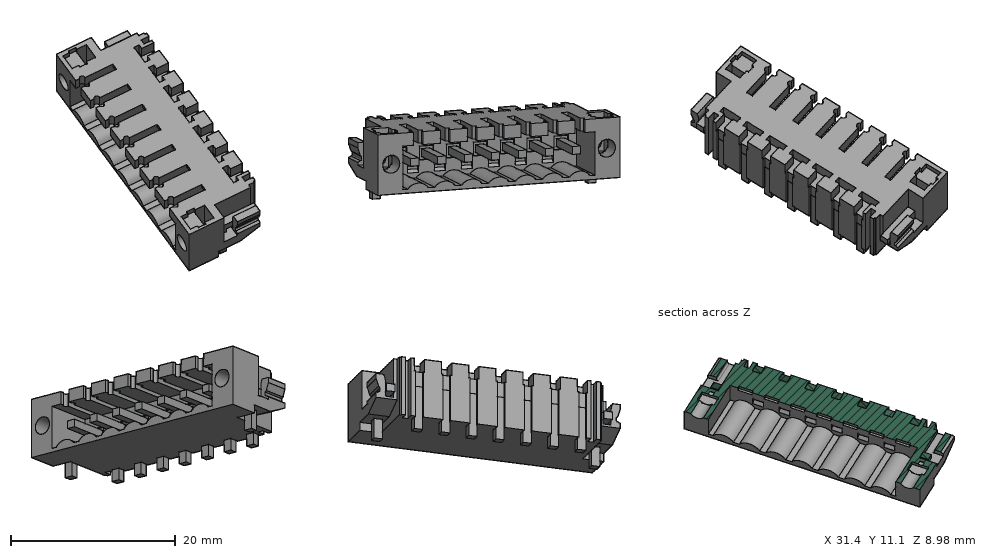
import cadquery as cq
import math


length = 31.45
depth = 11.05
height = 7.5
contact_count = 7
contact_row = 21.0
pitch = contact_row / (contact_count - 1)
contact_x = [i * pitch - contact_row / 2 for i in range(contact_count)]
flange_x = contact_row / 2 + pitch
half_length = length / 2

wire_width = 1.07
wire_height = 0.97
wire_z = 3.52
wire_bottom = wire_z - wire_height / 2
wire_top = wire_z + wire_height / 2
leg_thickness = wire_height
tail_length = 1.48
contact_front = 1.2
contact_rear = 10.7
anchor_front = 5.03
anchor_rear = 10.5

flange_depth = 4.95
side_x = flange_x - wire_width / 2
shoulder_y = 10.03
rear_step_y = 10.8
rear_step_x = 13.02
rear_x = 12.83
end_gap_width = 0.7
end_gap_x = 11.95
end_gap_front = 9.95

cavity_half_length = 12.5
cavity_depth = 6.3
cavity_floor = 0.5
cavity_roof = 5.88
scallop_half_width = 1.35
scallop_height = 0.65

contact_recess_width = 1.85
contact_recess_height = 1.7
contact_recess_depth = 0.3

window_width = 1.4
window_bottom = 1.15
window_top = 2.0
window_slope = 0.38

slit_width = 0.88
slit_end = 5.13
slit_undercut_top = 6.98
mouth_width = 1.25
keyhole_width = 1.75
keyhole_breadth = 0.7
keyhole_y = 0.85

rear_slot_width = 1.32
rear_slot_floor = cavity_roof
cross_width = 2.58
cross_front = 8.62
cross_rear = 9.35
rear_groove_width = 0.97

bore_radius = 1.1
bore_tip_radius = 0.8
bore_end = 4.4
bore_z = height / 2
pocket_width = 2.2
pocket_front = 0.57
pocket_rear = 3.87
ledge_depth = 0.72
ledge_rear = 2.55
ear_width = 2.77
ear_front = 1.5

arm_bottom = 1.05
arm_top = 2.5
arm_slope_start = 7.2
arm_rear_bottom = 2.2
notch_front = 4.15
hook_front = 6.82
hook_top = 5.28
hook_tip_x = -14.75
hook_curve_z = 4.37
lip_bottom = 4.62
groove_x = -15.22
groove_top = 3.68
groove_step = 0.2
groove_fillet = 0.15
ledge_inner_z = 3.02
ledge_outer_z = 2.83
foot_fillet = 0.22


def block(x0, x1, y0, y1, z0, z1):
    """Box between the given limits."""
    return cq.Workplane("XY").box(x1 - x0, y1 - y0, z1 - z0, centered=False).translate((x0, y0, z0))


def centred_block(x, width, y0, y1, z0, z1):
    """Box centred on x."""
    return block(x - width / 2, x + width / 2, y0, y1, z0, z1)


def mirrored(shape):
    """The shape together with its mirror image across the middle of the row."""
    return shape.union(shape.mirror("YZ"))


def bent_wire(x, front, rear, leg_front):
    """Square wire: a bar along Y and a leg that runs down through the board."""
    bar = centred_block(x, wire_width, front, rear, wire_bottom, wire_top)
    leg = centred_block(x, wire_width, leg_front, leg_front + leg_thickness, -tail_length, wire_top)
    return bar.union(leg)


def contact(x):
    return bent_wire(x, contact_front, contact_rear, contact_rear - leg_thickness)


def anchor(x):
    return bent_wire(x, anchor_front, anchor_rear, anchor_front)


def housing_outline():
    """Middle block and the two flanges, with stepped rear corners."""
    flanges = block(-half_length, half_length, 0, flange_depth, 0, height)
    middle = block(-side_x, side_x, 0, shoulder_y, 0, height)
    step = block(-rear_step_x, rear_step_x, 0, rear_step_y, 0, height)
    rear = block(-rear_x, rear_x, 0, depth, 0, height)
    end_gap = centred_block(end_gap_x, end_gap_width, end_gap_front, depth, 0, height)
    return flanges.union(middle).union(step).union(rear).cut(mirrored(end_gap))


def latch_arm():
    """Left side arm that carries a grooved hook beside the anchor bar."""
    arm = (
        cq.Workplane("YZ")
        .moveTo(flange_depth, arm_bottom)
        .lineTo(arm_slope_start, arm_bottom)
        .lineTo(shoulder_y, arm_rear_bottom)
        .lineTo(shoulder_y, arm_top)
        .lineTo(flange_depth, arm_top)
        .close()
        .extrude(half_length - side_x)
        .translate((-half_length, 0, 0))
    )
    inner_x = -flange_x - wire_width / 2
    curve_run = inner_x - hook_tip_x
    curve_rise = hook_top - hook_curve_z
    curve_radius = (curve_run**2 + curve_rise**2) / (2 * curve_run)
    half_angle = math.asin(curve_rise / curve_radius) / 2
    inner_mid = (
        inner_x - curve_radius * (1 - math.cos(half_angle)),
        hook_curve_z + curve_radius * math.sin(half_angle),
    )
    hook = (
        cq.Workplane("XZ")
        .moveTo(-half_length, arm_top)
        .lineTo(-half_length, ledge_outer_z)
        .lineTo(groove_x - groove_fillet, ledge_inner_z)
        .radiusArc((groove_x, ledge_inner_z + groove_fillet), -groove_fillet)
        .lineTo(groove_x, groove_top - groove_step)
        .lineTo(groove_x - groove_step, groove_top)
        .lineTo(-half_length, lip_bottom)
        .lineTo(-half_length, hook_top)
        .lineTo(hook_tip_x, hook_top)
        .threePointArc(inner_mid, (inner_x, hook_curve_z))
        .lineTo(inner_x, arm_top + foot_fillet)
        .radiusArc((inner_x + foot_fillet, arm_top), -foot_fillet)
        .close()
        .extrude(hook_front - shoulder_y)
        .translate((0, hook_front, 0))
    )
    return arm.union(hook)


def flange_notch():
    """Relief under the left flange and arm, deep enough to reach the rear step of the side wall."""
    return (
        cq.Workplane("YZ")
        .moveTo(notch_front, 0)
        .lineTo(notch_front, arm_bottom)
        .lineTo(arm_slope_start, arm_bottom)
        .lineTo(shoulder_y, arm_rear_bottom)
        .lineTo(shoulder_y, 0)
        .close()
        .extrude(half_length - rear_step_x)
        .translate((-half_length, 0, 0))
    )


def nut_pocket():
    """Left flange: bore in the mating face and stepped nut pocket in the top."""
    x = -flange_x
    well = centred_block(x, pocket_width, ledge_rear, pocket_rear, bore_z - bore_radius, height)
    ledge = centred_block(x, pocket_width, pocket_front, ledge_rear, height - ledge_depth, height)
    ears = centred_block(x, ear_width, ear_front, ledge_rear, height - ledge_depth, height)
    mouth = cq.Workplane("XZ").center(x, bore_z).circle(bore_radius).extrude(-ledge_rear)
    tip = cq.Workplane("XZ").center(x, bore_z).circle(bore_tip_radius).extrude(-bore_end)
    return well.union(ledge).union(ears).union(mouth).union(tip)


def scallop(x):
    """Rounded rib along the cavity floor."""
    return (
        cq.Workplane("XZ")
        .moveTo(x - scallop_half_width, cavity_floor)
        .threePointArc((x, cavity_floor + scallop_height), (x + scallop_half_width, cavity_floor))
        .close()
        .extrude(-cavity_depth)
    )


def mating_cavity():
    """Plug cavity, open at the front, with a scalloped floor."""
    cavity = block(-cavity_half_length, cavity_half_length, 0, cavity_depth, cavity_floor, cavity_roof)
    for x in contact_x:
        cavity = cavity.cut(scallop(x))
    return cavity


def contact_recess(x):
    """Shallow rectangular recess around a contact in the rear wall of the cavity."""
    z0 = wire_z - contact_recess_height / 2
    z1 = wire_z + contact_recess_height / 2
    return centred_block(x, contact_recess_width, cavity_depth, cavity_depth + contact_recess_depth, z0, z1)


def wall_window(x):
    """Recess with a sloping sill in the rear wall of the cavity."""
    return (
        cq.Workplane("YZ")
        .moveTo(cavity_depth, window_bottom)
        .lineTo(cavity_depth + window_slope, window_bottom + window_slope)
        .lineTo(cavity_depth + window_slope, window_top)
        .lineTo(cavity_depth, window_top)
        .close()
        .extrude(window_width)
        .translate((x - window_width / 2, 0, 0))
    )


def roof_slit(x):
    """Coding slit through the cavity roof: keyhole mouth, narrow run, undercut end."""
    mouth = centred_block(x, mouth_width, 0, keyhole_y, cavity_roof, height)
    keyhole = (
        cq.Workplane("XY")
        .workplane(offset=cavity_roof)
        .center(x, keyhole_y)
        .slot2D(keyhole_width, keyhole_breadth)
        .extrude(height - cavity_roof)
    )
    run = centred_block(x, slit_width, keyhole_y, slit_end, cavity_roof, height)
    undercut = centred_block(x, slit_width, slit_end, cavity_depth, cavity_roof, slit_undercut_top)
    return mouth.union(keyhole).union(run).union(undercut)


def rear_slot(x):
    """T-shaped slot in the top and the narrower groove below it, behind the contact leg."""
    stem = centred_block(x, rear_slot_width, cross_front, depth, rear_slot_floor, height)
    cross = centred_block(x, cross_width, cross_front, cross_rear, rear_slot_floor, height)
    groove = centred_block(x, rear_groove_width, contact_rear, depth, 0, height)
    return stem.union(cross).union(groove)


def build_housing(inserts):
    """Housing with matching holes for the contacts and anchors."""
    body = housing_outline()
    body = body.union(mirrored(latch_arm()))
    body = body.cut(mirrored(flange_notch()))
    body = body.cut(mirrored(nut_pocket()))
    body = body.cut(mating_cavity())
    for x in contact_x:
        body = body.cut(contact_recess(x)).cut(roof_slit(x)).cut(rear_slot(x))
    for x in contact_x[:-1]:
        body = body.cut(wall_window(x + pitch / 2))
    for insert in inserts:
        body = body.cut(insert)
    return body


contacts = [contact(x) for x in contact_x]
anchors = [anchor(side * flange_x) for side in (-1, 1)]
housing = build_housing(contacts + anchors)

bodies = [housing] + contacts + anchors
result = cq.Compound.makeCompound([body.val() for body in bodies])